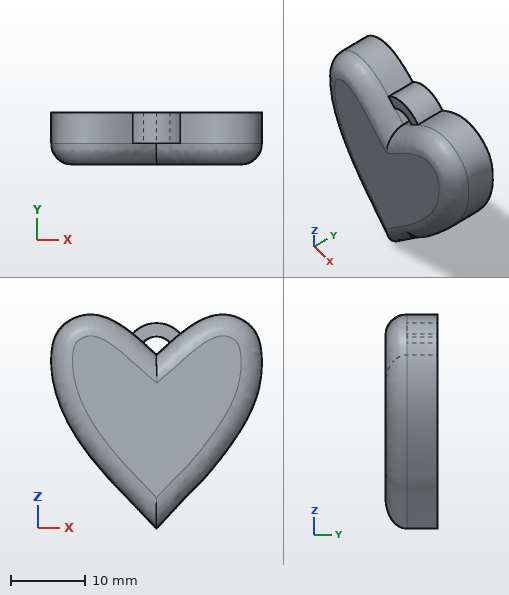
import cadquery as cq

WIDTH = 28.42
HEIGHT = 28.85
THICKNESS = 7.06
ROUNDING = 2.86
HALF_WIDTH = WIDTH / 2
STRAIGHT_DEPTH = THICKNESS - ROUNDING

NOTCH = (0, 23.42)
FLANK = (4.34, 27.10)
CROWN = (9.15, HEIGHT)
SHOULDER = (13.19, 26.69)
SIDE = (HALF_WIDTH, 22.85)
UPPER_TAPER = (11.70, 13.85)
LOWER_TAPER = (6.03, 6.32)
TIP = (0, 0)

NOTCH_DIRECTION = (2.73, 2.45)
TIP_DIRECTION = (-5.28, -5.82)

RING_OUTER_RADIUS = 4.28
RING_INNER_RADIUS = 2.42
RING_CENTRE_Z = NOTCH[1]

SKETCH_PLANE = "XZ"


def heart_outline():
    right_half = [NOTCH, FLANK, CROWN, SHOULDER, SIDE, UPPER_TAPER, LOWER_TAPER, TIP]
    left_half = [(-x, z) for x, z in reversed(right_half)]
    left_start_direction = (TIP_DIRECTION[0], -TIP_DIRECTION[1])
    left_end_direction = (NOTCH_DIRECTION[0], -NOTCH_DIRECTION[1])
    return (
        cq.Workplane(SKETCH_PLANE)
        .moveTo(*NOTCH)
        .spline(right_half[1:], tangents=[NOTCH_DIRECTION, TIP_DIRECTION], includeCurrent=True)
        .spline(left_half[1:], tangents=[left_start_direction, left_end_direction], includeCurrent=True)
        .close()
    )


def heart_body():
    return heart_outline().extrude(THICKNESS).faces("<Y").edges().fillet(ROUNDING)


def hanging_ring():
    return (
        cq.Workplane(SKETCH_PLANE)
        .center(0, RING_CENTRE_Z)
        .circle(RING_OUTER_RADIUS)
        .circle(RING_INNER_RADIUS)
        .extrude(STRAIGHT_DEPTH)
    )


result = heart_body().union(hanging_ring())